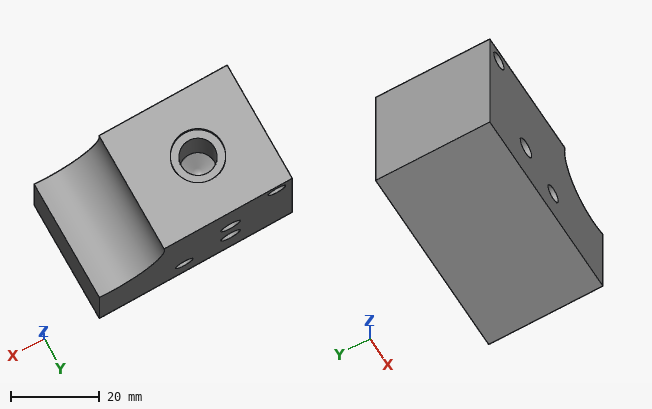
import cadquery as cq
import math

LENGTH = 50.0
WIDTH = 30.0
HEIGHT = 37.0

RELIEF_RADIUS = 12.9
RELIEF_X = 46.0
RELIEF_Z = 35.3

PORT_X = 16.0
PORT_Y = WIDTH / 2
PORT_DIAMETER = 8.6
PORT_DEPTH = 17.0
DRILL_POINT_ANGLE = 118.0
SEAT_DIAMETER = 12.5
SEAT_DEPTH = 1.3

CROSS_HOLES = [
    (4.0, 33.0, 4.5),
    (PORT_X, 11.85, 5.0),
    (28.0, 9.0, 4.5),
]

FEED_DIAMETER = 5.0
FEED_OVERLAP = 0.5


def cylinder_along_y(x, z, diameter, y_start, y_end):
    """Solid cylinder parallel to Y between two Y positions."""
    return cq.Workplane(
        cq.Solid.makeCylinder(
            diameter / 2, y_end - y_start, cq.Vector(x, y_start, z), cq.Vector(0, 1, 0)
        )
    )


def port_cutter():
    """Counterbored drilling with a conical bottom, revolved about the port axis."""
    port_radius = PORT_DIAMETER / 2
    seat_radius = SEAT_DIAMETER / 2
    wall_end = -PORT_DEPTH
    tip = wall_end - port_radius / math.tan(math.radians(DRILL_POINT_ANGLE / 2))
    return (
        cq.Workplane("XZ")
        .moveTo(0, 0)
        .lineTo(seat_radius, 0)
        .lineTo(seat_radius, -SEAT_DEPTH)
        .lineTo(port_radius, -SEAT_DEPTH)
        .lineTo(port_radius, wall_end)
        .lineTo(0, tip)
        .close()
        .revolve(360, (0, 0, 0), (0, 1, 0))
        .translate((PORT_X, PORT_Y, HEIGHT))
    )


def feed_cutter():
    """Drilling from the +Y face to the port axis."""
    feed_z = HEIGHT - PORT_DEPTH + FEED_DIAMETER / 2 - FEED_OVERLAP
    return cylinder_along_y(PORT_X, feed_z, FEED_DIAMETER, PORT_Y, WIDTH)


body = cq.Workplane("XY").box(LENGTH, WIDTH, HEIGHT, centered=False)
body = body.cut(cylinder_along_y(RELIEF_X, RELIEF_Z, 2 * RELIEF_RADIUS, 0, WIDTH))
for hole_x, hole_z, hole_diameter in CROSS_HOLES:
    body = body.cut(cylinder_along_y(hole_x, hole_z, hole_diameter, 0, WIDTH))
body = body.cut(port_cutter())
body = body.cut(feed_cutter())

result = body